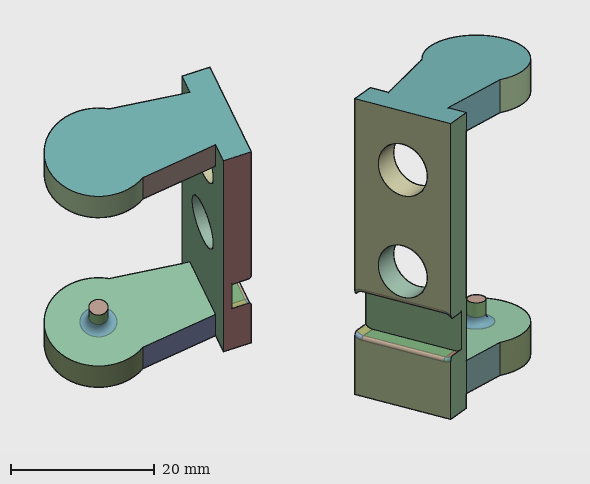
import cadquery as cq
import math

width = 15.65
height = 45.7
depth = 27.4
plate_thickness = 4.2

arm_thickness = 5.1
pad_radius = 7.6
pad_center_y = pad_radius - depth
neck_root_width = 9.7
neck_end_width = 12.7
neck_end_y = pad_center_y + math.sqrt(pad_radius**2 - (neck_end_width / 2) ** 2)

hole_diameter = 7.95
hole_spacing = 15.68
upper_hole_z = height - arm_thickness - hole_diameter / 2
hole_heights = (upper_hole_z, upper_hole_z - hole_spacing)

pocket_length = 16.35
pocket_height = 6.8
pocket_depth = 2.92
pocket_center_z = 12.55
pocket_corner_radius = 1.5
pocket_mouth_radius = 0.5

pin_diameter = 2.7
pin_height = 3.47
pin_foot_radius = 1.25


def make_plate():
    stock_width = 2 * width
    stock = (
        cq.Workplane("XY")
        .box(stock_width, plate_thickness, height, centered=(True, False, False))
        .translate((0, -plate_thickness, 0))
    )
    pocket = (
        cq.Workplane("XY")
        .box(pocket_length, pocket_depth, pocket_height)
        .edges("|Y")
        .fillet(pocket_corner_radius)
        .translate((0, -pocket_depth / 2, pocket_center_z))
    )
    stock = stock.cut(pocket)
    mouth = stock.faces(">Y").wires(cq.selectors.LengthNthSelector(0)).edges()
    stock = mouth.fillet(pocket_mouth_radius)
    trim = cq.Workplane("XY").box(width, 2 * plate_thickness, height, centered=(True, True, False))
    plate = stock.intersect(trim)
    holes = (
        cq.Workplane("XZ")
        .pushPoints([(0, hole_z) for hole_z in hole_heights])
        .circle(hole_diameter / 2)
        .extrude(plate_thickness)
    )
    return plate.cut(holes)


def make_arm(bottom_z):
    return (
        cq.Workplane("XY", origin=(0, 0, bottom_z))
        .moveTo(-neck_root_width / 2, -plate_thickness)
        .lineTo(-neck_end_width / 2, neck_end_y)
        .threePointArc((0, -depth), (neck_end_width / 2, neck_end_y))
        .lineTo(neck_root_width / 2, -plate_thickness)
        .close()
        .extrude(arm_thickness)
    )


def make_pin():
    pin_radius = pin_diameter / 2
    foot_radius = pin_radius + pin_foot_radius
    arc_offset = pin_foot_radius * (1 - math.sqrt(0.5))
    return (
        cq.Workplane("XZ", origin=(0, pad_center_y, arm_thickness))
        .lineTo(foot_radius, 0)
        .threePointArc((pin_radius + arc_offset, arc_offset), (pin_radius, pin_foot_radius))
        .lineTo(pin_radius, pin_height)
        .lineTo(0, pin_height)
        .close()
        .revolve(360, (0, 0, 0), (0, 1, 0))
    )


result = make_plate()
for arm_bottom_z in (0, height - arm_thickness):
    result = result.union(make_arm(arm_bottom_z))
result = result.union(make_pin())